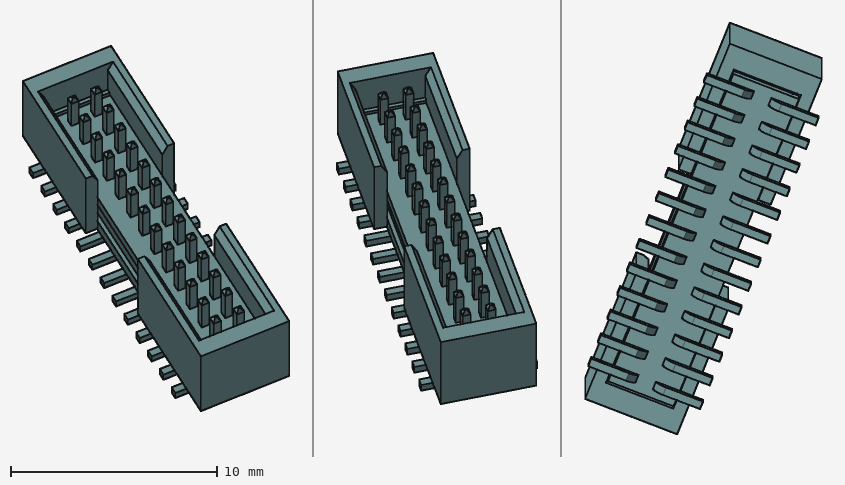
import cadquery as cq
import math

pins_per_row = 13
base_length = 16.5
pitch = base_length / pins_per_row
pin_side = 0.4
post_shoulder_z = 4.62
post_tip_z = 4.85
post_tip_side = 0.11
foot_span = 5.84
foot_bend_radius = 0.53

base_width = 3.42
base_bottom_z = pin_side
groove_bottom_z = 1.05
groove_top_z = 2.3
base_top_z = 2.9
groove_depth = 0.23

total_length = 19.08
shroud_length = 6.75
shroud_width = 4.8
shroud_bottom_z = 0.63
shroud_top_z = 4.92
end_wall = 0.92
end_ledge = 0.21
end_ledge_z = base_top_z
side_wall = 0.65
lead_in_width = 0.29
lead_in_height = 0.52

pin_places = [
    ((i - (pins_per_row - 1) / 2) * pitch, side * pitch / 2)
    for i in range(pins_per_row)
    for side in (-1, 1)
]


def make_plate(length, width, bottom_z, top_z):
    """Rectangular plate centred on the Z axis."""
    return cq.Workplane("XY", origin=(0, 0, bottom_z)).rect(length, width).extrude(top_z - bottom_z)


def make_posts():
    """Square contact posts with tapered tips, standing on the base."""
    shafts = (
        cq.Workplane("XY", origin=(0, 0, base_top_z))
        .pushPoints(pin_places)
        .rect(pin_side, pin_side)
        .extrude(post_shoulder_z - base_top_z)
    )
    tip = (
        cq.Workplane("XY", origin=(0, 0, post_shoulder_z))
        .rect(pin_side, pin_side)
        .workplane(offset=post_tip_z - post_shoulder_z)
        .rect(post_tip_side, post_tip_side)
        .loft(ruled=True)
    )
    tips = cq.Workplane("XY").pushPoints(pin_places).eachpoint(lambda place: tip.val().moved(place))
    return shafts.union(tips)


def make_foot(x, side):
    """Solder foot pointing outward in Y, with a rounded bend at its inner end."""
    outer_y = foot_span / 2
    post_inner_y = pitch / 2 - pin_side / 2
    flat_y = post_inner_y + foot_bend_radius
    inner_y = flat_y - math.sqrt(foot_bend_radius**2 - (foot_bend_radius - pin_side) ** 2)
    foot = (
        cq.Workplane("YZ", origin=(x - pin_side / 2, 0, 0))
        .moveTo(inner_y, pin_side)
        .radiusArc((flat_y, 0), -foot_bend_radius)
        .lineTo(outer_y, 0)
        .lineTo(outer_y, pin_side)
        .close()
        .extrude(pin_side)
    )
    return foot if side > 0 else foot.mirror("XZ")


def make_top_plate():
    """Upper plate of the base, carrying the contact posts."""
    return make_plate(base_length, base_width, groove_top_z, base_top_z).union(make_posts())


def make_middle_plate():
    """Narrower plate that forms the floor of the groove."""
    return make_plate(
        base_length - 2 * groove_depth, base_width - 2 * groove_depth, groove_bottom_z, groove_top_z
    )


def make_bottom_plate():
    """Lower plate of the base, carrying the solder feet."""
    plate = make_plate(base_length, base_width, base_bottom_z, groove_bottom_z)
    for x, y in pin_places:
        side = math.copysign(1, y)
        plate = plate.union(make_foot(x, side))
    return plate


def make_shroud(end):
    """U-shaped shroud at one end of the base: end = -1 for the -X end, +1 for the +X end."""
    outer_x = -total_length / 2
    open_x = outer_x + shroud_length
    inner_half_width = shroud_width / 2 - side_wall
    height = shroud_top_z - shroud_bottom_z

    block = (
        cq.Workplane("XY", origin=(0, 0, shroud_bottom_z))
        .moveTo(outer_x, -shroud_width / 2)
        .rect(shroud_length, shroud_width, centered=False)
        .extrude(height)
    )
    lower_cavity = (
        cq.Workplane("XY", origin=(0, 0, shroud_bottom_z))
        .moveTo(outer_x + end_wall + end_ledge, -inner_half_width)
        .rect(shroud_length, 2 * inner_half_width, centered=False)
        .extrude(height)
    )
    upper_cavity = (
        cq.Workplane("YZ", origin=(outer_x + end_wall, 0, 0))
        .moveTo(-inner_half_width, end_ledge_z)
        .lineTo(-inner_half_width, shroud_top_z - lead_in_height)
        .lineTo(-inner_half_width - lead_in_width, shroud_top_z)
        .lineTo(inner_half_width + lead_in_width, shroud_top_z)
        .lineTo(inner_half_width, shroud_top_z - lead_in_height)
        .lineTo(inner_half_width, end_ledge_z)
        .close()
        .extrude(open_x - outer_x - end_wall)
    )
    shroud = block.cut(lower_cavity).cut(upper_cavity)
    return shroud if end < 0 else shroud.mirror("YZ")


top_plate = make_top_plate()
middle_plate = make_middle_plate()
bottom_plate = make_bottom_plate()
shrouds = [make_shroud(end) for end in (-1, 1)]

result = cq.Compound.makeCompound(
    [top_plate.val(), middle_plate.val(), bottom_plate.val(), *[shroud.val() for shroud in shrouds]]
)